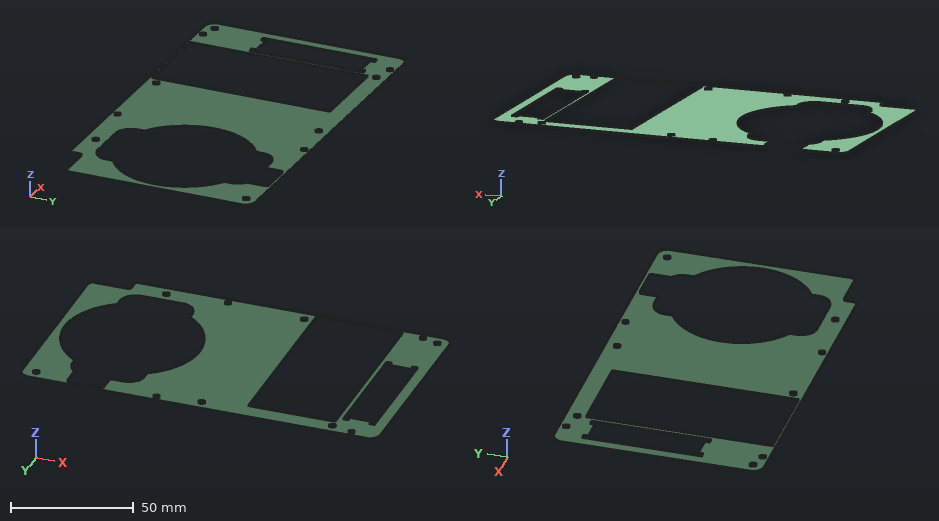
import cadquery as cq

LENGTH = 156.3
WIDTH = 89.5
THICKNESS = 0.4
CORNER_RADIUS = 4.5
MID_Y = WIDTH / 2

STEP_LENGTH = 17.8
STEP_WIDTH = 6.1
STEP_LEFT_RADIUS = 2.0
STEP_RADIUS = 1.3

OPENING_X = 33.1
DISC_DIAMETER = 58.8
BODY_LENGTH = 31.3
BODY_WIDTH = 69.2
BODY_RADIUS = 6.7
NOTCH_LEFT = 20.6
NOTCH_RIGHT = 36.3
NOTCH_TOP = 87.5
NOTCH_RADIUS = 1.0

WINDOW_LEFT = 97.2
WINDOW_RIGHT = 134.7
WINDOW_BOTTOM = 1.5
WINDOW_TOP = 80.8

SLOT_LEFT = 137.4
SLOT_RIGHT = 150.7
SLOT_BOTTOM = 27.0
SLOT_TOP = 77.7
TAB_LENGTH = 9.4
TAB_DEPTH = 2.0

LARGE_HOLE_DIAMETER = 2.7
LARGE_HOLE_INSET = 5.0
LARGE_TOP_XS = (6.1, 78.2, 135.0)
LARGE_BOTTOM_XS = (OPENING_X, 93.2, 151.2)
SMALL_HOLE_DIAMETER = 2.5
SMALL_HOLE_INSET = 3.0
SMALL_HOLE_XS = (59.2, 144.1)


def block(left, right, bottom, top):
    """Full-thickness rectangular block between the given sides."""
    return (
        cq.Workplane("XY")
        .box(right - left, top - bottom, THICKNESS, centered=False)
        .translate((left, bottom, 0))
    )


def fillet_corner(body, x, y, radius):
    """Round the upright edge standing at (x, y)."""
    corner = cq.selectors.NearestToPointSelector((x, y, THICKNESS / 2))
    return body.edges(corner).fillet(radius)


def plate():
    body = block(0, LENGTH, 0, WIDTH)
    body = body.edges("|Z and (>X or >Y)").fillet(CORNER_RADIUS)
    body = body.cut(block(0, STEP_LENGTH, 0, STEP_WIDTH))
    body = fillet_corner(body, 0, STEP_WIDTH, STEP_LEFT_RADIUS)
    body = fillet_corner(body, STEP_LENGTH, STEP_WIDTH, STEP_RADIUS)
    return fillet_corner(body, STEP_LENGTH, 0, STEP_RADIUS)


def large_opening():
    disc = (
        cq.Workplane("XY")
        .center(OPENING_X, MID_Y)
        .circle(DISC_DIAMETER / 2)
        .extrude(THICKNESS)
    )
    body = block(
        OPENING_X - BODY_LENGTH / 2,
        OPENING_X + BODY_LENGTH / 2,
        MID_Y - BODY_WIDTH / 2,
        MID_Y + BODY_WIDTH / 2,
    )
    body = body.edges("|Z").fillet(BODY_RADIUS)
    notch = block(NOTCH_LEFT, NOTCH_RIGHT, MID_Y, NOTCH_TOP)
    notch = notch.edges("|Z and >Y").fillet(NOTCH_RADIUS)
    return disc.union(body).union(notch)


def tabbed_slot():
    slot = block(SLOT_LEFT, SLOT_RIGHT, SLOT_BOTTOM, SLOT_TOP)
    tab_left = (SLOT_LEFT + SLOT_RIGHT - TAB_LENGTH) / 2
    for tab_bottom in (SLOT_BOTTOM, SLOT_TOP - TAB_DEPTH):
        tab = block(tab_left, tab_left + TAB_LENGTH, tab_bottom, tab_bottom + TAB_DEPTH)
        slot = slot.cut(tab)
    return slot


def holes(centers, diameter):
    return cq.Workplane("XY").pushPoints(centers).circle(diameter / 2).extrude(THICKNESS)


large_centers = [(x, WIDTH - LARGE_HOLE_INSET) for x in LARGE_TOP_XS]
large_centers += [(x, LARGE_HOLE_INSET) for x in LARGE_BOTTOM_XS]
small_centers = [(x, y) for x in SMALL_HOLE_XS for y in (SMALL_HOLE_INSET, WIDTH - SMALL_HOLE_INSET)]

result = (
    plate()
    .cut(large_opening())
    .cut(block(WINDOW_LEFT, WINDOW_RIGHT, WINDOW_BOTTOM, WINDOW_TOP))
    .cut(tabbed_slot())
    .cut(holes(large_centers, LARGE_HOLE_DIAMETER))
    .cut(holes(small_centers, SMALL_HOLE_DIAMETER))
)